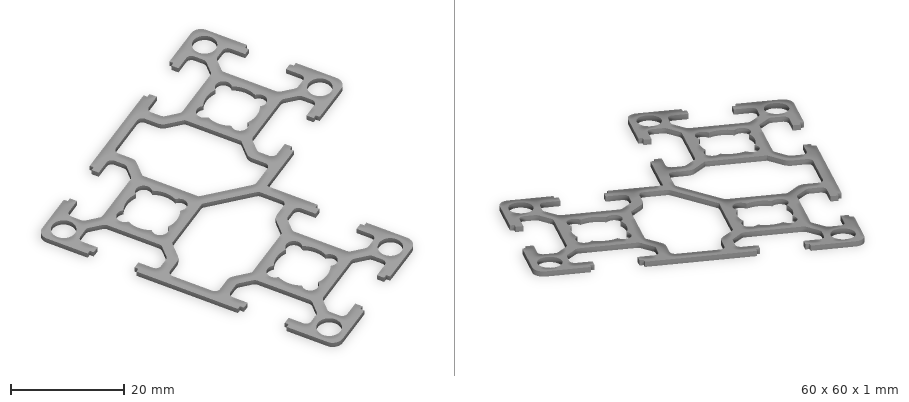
import cadquery as cq
import math

cell = 30.0
thickness = 1.0
wall = 2.0
core_half = 7.0

mouth_half = 4.85
mouth_depth = 0.8
throat_half = 4.1
lip_depth = 2.2
chamber_half = 8.05
inside_radius = 1.0
strut_radius = 2.0

outer_radius = 2.0
corner_bore = 4.5
core_bore = 10.0
lobe_radius = 1.5
lobe_offset = 3.55

half = cell / 2
far_edge = cell + half
strut_shift = wall / math.sqrt(2)
core_corner = core_half - strut_shift
chamber_corner = chamber_half + strut_shift
branch = chamber_half + wall
branch_corner = branch - strut_shift
web_face = half - wall
bore_offset = (half + chamber_half) / 2

cell_centres = [(0, 0), (cell, 0), (0, cell)]

open_slots = [
    ((0, 0), (180, 270)),
    ((cell, 0), (0, 90, 270)),
    ((0, cell), (0, 90, 180)),
]

bored_corners = [
    ((0, 0), -1, -1),
    ((cell, 0), 1, -1),
    ((cell, 0), 1, 1),
    ((0, cell), -1, 1),
    ((0, cell), 1, 1),
]


def prism(points):
    """Straight prism over a closed outline, as thick as the slice."""
    return cq.Workplane("XY").polyline(points).close().extrude(thickness)


def round_edges(solid, corners, radius):
    """Round the vertical edges standing at the given points to the given radius."""
    for x, y in corners:
        edge = cq.selectors.NearestToPointSelector((x, y, thickness / 2))
        solid = solid.edges("|Z").edges(edge).fillet(radius)
    return solid


def rounded_plate():
    """L-shaped blank with all outer corners rounded and the re-entrant corner sharp."""
    outline = [
        (-half, -half), (far_edge, -half), (far_edge, half),
        (half, half), (half, far_edge), (-half, far_edge),
    ]
    plate = prism(outline)
    return plate.edges("|Z and (<X or >X or <Y or >Y)").fillet(outer_radius)


def slot():
    """T-slot opening toward +Y in a cell centred on the origin."""
    lip_y = half - lip_depth
    mouth_y = half - mouth_depth
    right_side = [
        (core_corner, core_half),
        (chamber_half, chamber_corner),
        (chamber_half, lip_y),
        (throat_half, lip_y),
        (throat_half, mouth_y),
        (mouth_half, mouth_y),
        (mouth_half, half),
    ]
    left_side = [(-x, y) for x, y in reversed(right_side)]
    right_corners = [(core_corner, core_half), (chamber_half, chamber_corner), (chamber_half, lip_y)]
    left_corners = [(-x, y) for x, y in right_corners]
    return round_edges(prism(right_side + left_side), right_corners + left_corners, inside_radius)


def cavity():
    """Closed cavity between the origin cell and the cell above it."""
    upper_branch = cell - branch
    upper_core = cell - core_half
    points = [
        (-core_corner, core_half),
        (core_corner, core_half),
        (web_face, web_face + strut_shift),
        (web_face, upper_branch),
        (branch_corner, upper_branch),
        (core_corner, upper_core),
        (-core_corner, upper_core),
        (-branch_corner, upper_branch),
        (-web_face, upper_branch),
        (-web_face, branch),
        (-branch_corner, branch),
    ]
    web_corners = [
        (-web_face, branch),
        (-web_face, upper_branch),
        (web_face, upper_branch),
        (web_face, web_face + strut_shift),
    ]
    strut_corners = [
        (branch_corner, upper_branch),
        (-branch_corner, upper_branch),
        (-branch_corner, branch),
    ]
    rounded = round_edges(prism(points), web_corners, inside_radius)
    return round_edges(rounded, strut_corners, strut_radius)


def core_hole():
    """Central bore with four overlapping lobes."""
    lobes = [(sx * lobe_offset, sy * lobe_offset) for sx in (-1, 1) for sy in (-1, 1)]
    bore = cq.Workplane("XY").circle(core_bore / 2).extrude(thickness)
    return bore.union(cq.Workplane("XY").pushPoints(lobes).circle(lobe_radius).extrude(thickness))


result = rounded_plate()

upward_slot = slot()
for (x, y), directions in open_slots:
    for direction in directions:
        turned = upward_slot.rotate((0, 0, 0), (0, 0, 1), direction - 90)
        result = result.cut(turned.translate((x, y, 0)))

upper_cavity = cavity()
side_cavity = upper_cavity.mirror("YZ").rotate((0, 0, 0), (0, 0, 1), -90)
result = result.cut(upper_cavity).cut(side_cavity)

for x, y in cell_centres:
    result = result.cut(core_hole().translate((x, y, 0)))

bores = [(x + sx * bore_offset, y + sy * bore_offset) for (x, y), sx, sy in bored_corners]
result = result.cut(cq.Workplane("XY").pushPoints(bores).circle(corner_bore / 2).extrude(thickness))